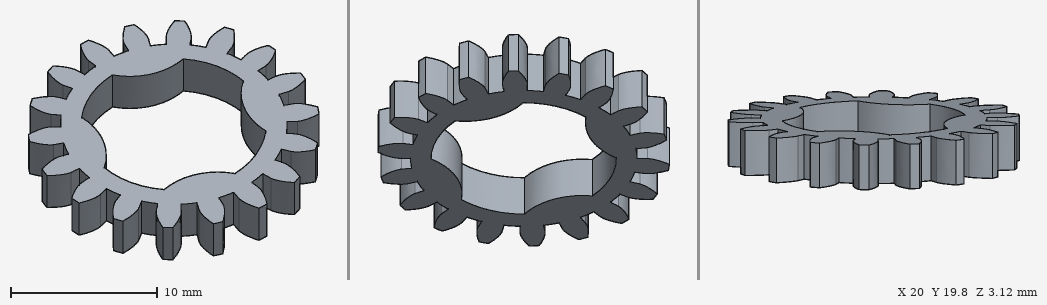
import cadquery as cq
import math

tooth_count = 18
module = 1.0
pressure_angle = math.radians(20)
thickness = 3.12
flank_steps = 6
root_depth = 1.25 * module

pitch_radius = module * tooth_count / 2
tip_radius = pitch_radius + module
root_radius = pitch_radius - root_depth
base_radius = pitch_radius * math.cos(pressure_angle)
pitch_angle = 2 * math.pi / tooth_count

bore_radius = 6.34
lobe_inner_radius = 5.08
lobe_half_width = 2.54
lobe_count = 4


def polar(radius, angle):
    return (radius * math.cos(angle), radius * math.sin(angle))


def involute(angle):
    return math.tan(angle) - angle


base_half_angle = pitch_angle / 4 + involute(pressure_angle)


def flank_half_angle(radius):
    """Half the angle that a tooth spans at a radius on its involute flank."""
    return base_half_angle - involute(math.acos(base_radius / radius))


def flank_points(center, side):
    """Points along one involute flank, from the base circle to the tip."""
    step = (tip_radius - base_radius) / flank_steps
    radii = [base_radius + i * step for i in range(flank_steps + 1)]
    return [polar(r, center + side * flank_half_angle(r)) for r in radii]


def gear_blank():
    """Solid gear: radial lines up to the base circle, then involute flanks."""
    outline = cq.Workplane("XY").moveTo(*polar(root_radius, -base_half_angle))
    for tooth in range(tooth_count):
        center = tooth * pitch_angle
        rising = flank_points(center, -1)
        falling = flank_points(center, 1)[::-1]
        gap_middle = center + pitch_angle / 2
        next_tooth_start = center + pitch_angle - base_half_angle
        outline = (
            outline.lineTo(*rising[0])
            .spline(rising[1:], includeCurrent=True)
            .threePointArc(polar(tip_radius, center), falling[0])
            .spline(falling[1:], includeCurrent=True)
            .lineTo(*polar(root_radius, center + base_half_angle))
            .threePointArc(
                polar(root_radius, gap_middle), polar(root_radius, next_tooth_start)
            )
        )
    return outline.close().extrude(thickness)


def lobed_bore():
    """Through bore whose circle is interrupted by inward arcs on both axes."""
    lobe_step = 2 * math.pi / lobe_count
    lobe_half_angle = math.asin(lobe_half_width / bore_radius)
    outline = cq.Workplane("XY").moveTo(*polar(bore_radius, -lobe_half_angle))
    for lobe in range(lobe_count):
        center = lobe * lobe_step
        next_lobe_start = center + lobe_step - lobe_half_angle
        outline = outline.threePointArc(
            polar(lobe_inner_radius, center),
            polar(bore_radius, center + lobe_half_angle),
        ).threePointArc(
            polar(bore_radius, center + lobe_step / 2),
            polar(bore_radius, next_lobe_start),
        )
    return outline.close().extrude(thickness)


result = gear_blank().cut(lobed_bore())